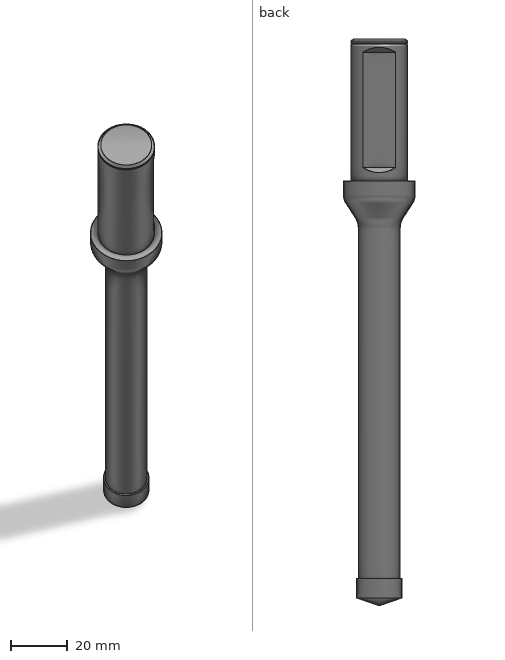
import cadquery as cq
import math

overall_length = 199.0

head_radius = 16.0 / 2
head_shoulder_z = 9.5
point_angle = 142.0
point_height = head_radius / math.tan(math.radians(point_angle / 2))

body_radius = 14.7 / 2
collar_radius = 25.0 / 2
shank_radius = 19.9 / 2
shank_length = 50.0
collar_top_z = overall_length - shank_length
collar_rim_height = 5.0
collar_rim_z = collar_top_z - collar_rim_height

flare_angle = math.radians(33.0)
collar_round_radius = 5.0
neck_round_radius = 6.4
neck_top_z = 132.7

end_chamfer_width = 1.0
end_chamfer_height = 0.8

groove_top_z = 197.6
groove_valley_z = 197.2
groove_bottom_z = 196.5
groove_depth = 0.2

flat_depth = 1.8
flat_bottom_z = 153.8
flat_top_z = 194.2


def arc_offset(radius, angle):
    """Radial and axial run of an arc that starts parallel to the axis and turns by an angle."""
    return radius * (1 - math.cos(angle)), radius * math.sin(angle)


def make_head():
    """Solid cutting head with a conical point."""
    return (
        cq.Workplane("XZ")
        .lineTo(head_radius, point_height)
        .lineTo(head_radius, head_shoulder_z)
        .lineTo(0, head_shoulder_z)
        .close()
        .revolve(360, (0, 0), (0, 1))
    )


def make_holder_blank():
    """Turned holder, from the head seat up to the grooved and chamfered shank end."""
    upper_mid = arc_offset(collar_round_radius, flare_angle / 2)
    upper_end = arc_offset(collar_round_radius, flare_angle)
    lower_mid = arc_offset(neck_round_radius, flare_angle / 2)
    lower_end = arc_offset(neck_round_radius, flare_angle)
    return (
        cq.Workplane("XZ")
        .moveTo(0, head_shoulder_z)
        .lineTo(body_radius, head_shoulder_z)
        .lineTo(body_radius, neck_top_z)
        .threePointArc(
            (body_radius + lower_mid[0], neck_top_z + lower_mid[1]),
            (body_radius + lower_end[0], neck_top_z + lower_end[1]),
        )
        .lineTo(collar_radius - upper_end[0], collar_rim_z - upper_end[1])
        .threePointArc(
            (collar_radius - upper_mid[0], collar_rim_z - upper_mid[1]),
            (collar_radius, collar_rim_z),
        )
        .lineTo(collar_radius, collar_top_z)
        .lineTo(shank_radius, collar_top_z)
        .lineTo(shank_radius, groove_bottom_z)
        .lineTo(shank_radius - groove_depth, groove_valley_z)
        .lineTo(shank_radius, groove_top_z)
        .lineTo(shank_radius, overall_length - end_chamfer_height)
        .lineTo(shank_radius - end_chamfer_width, overall_length)
        .lineTo(0, overall_length)
        .close()
        .revolve(360, (0, 0), (0, 1))
    )


def make_flat_cutter():
    """Trapezoidal prism along X that removes the clamping flat."""
    flat_y = shank_radius - flat_depth
    return (
        cq.Workplane("YZ")
        .moveTo(flat_y, flat_bottom_z)
        .lineTo(shank_radius, flat_bottom_z - flat_depth)
        .lineTo(shank_radius, flat_top_z + flat_depth)
        .lineTo(flat_y, flat_top_z)
        .close()
        .extrude(shank_radius, both=True)
    )


head = make_head()
holder = make_holder_blank().cut(make_flat_cutter())

result = cq.Compound.makeCompound([head.val(), holder.val()])